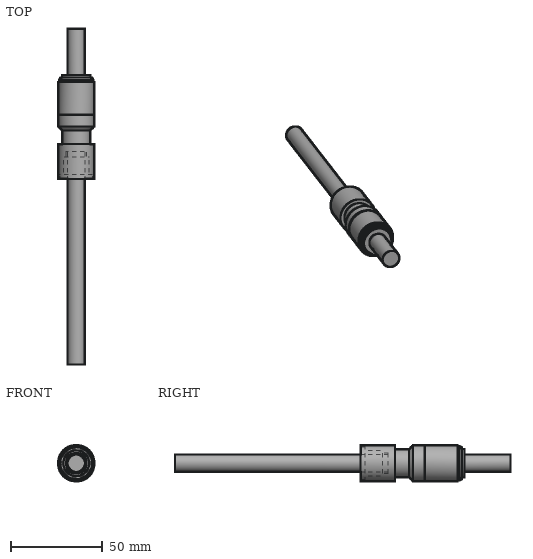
import cadquery as cq

LENGTH = 184.15
BODY_RADIUS = 9.96
ROD_RADIUS = 4.8

CAP_START = 25.3
CAP_CONE = 26.8
CAP_LIP = 28.0
CAP_SHOULDER = 29.1
GRIP_END = 47.1
TAPER_START = 53.5
NECK_START = 55.7
SOCKET_START = 63.3
SOCKET_END = 82.3

CAP_FACE_RADIUS = 7.9
CAP_CONE_RADIUS = 8.7
CAP_LIP_RADIUS = 9.4
NECK_RADIUS = 7.7

GROOVE_WIDTH = 0.3
GROOVE_DEPTH = 0.15

MOUTH_RADIUS = 8.8
MOUTH_DEPTH = 2.5
BORE_RADIUS = 7.05
BORE_DEPTH = 12.0
CLEARANCE_RADIUS = 5.6
CLEARANCE_DEPTH = 15.0


def station(distance):
    """Y coordinate of a distance measured from the +Y end of the part."""
    return LENGTH / 2 - distance


def cylinder(radius, start, end):
    plane = cq.Workplane("XZ", origin=(0, station(start), 0))
    return plane.circle(radius).extrude(end - start)


def make_rod():
    return cylinder(ROD_RADIUS, 0, LENGTH)


def make_sleeve():
    profile = (
        cq.Workplane("XY")
        .moveTo(0, station(CAP_START))
        .lineTo(CAP_FACE_RADIUS, station(CAP_START))
        .lineTo(CAP_FACE_RADIUS, station(CAP_CONE))
        .lineTo(CAP_CONE_RADIUS, station(CAP_CONE))
        .lineTo(CAP_LIP_RADIUS, station(CAP_LIP))
        .lineTo(CAP_LIP_RADIUS, station(CAP_SHOULDER))
        .lineTo(BODY_RADIUS, station(CAP_SHOULDER))
        .lineTo(BODY_RADIUS, station(TAPER_START))
        .lineTo(NECK_RADIUS, station(NECK_START))
        .lineTo(NECK_RADIUS, station(SOCKET_START))
        .lineTo(BODY_RADIUS, station(SOCKET_START))
        .lineTo(BODY_RADIUS, station(SOCKET_END))
        .lineTo(0, station(SOCKET_END))
        .close()
    )
    return profile.revolve(360, (0, 0, 0), (0, 1, 0))


def make_groove(centre):
    start = centre - GROOVE_WIDTH / 2
    end = centre + GROOVE_WIDTH / 2
    return cylinder(BODY_RADIUS, start, end).cut(cylinder(BODY_RADIUS - GROOVE_DEPTH, start, end))


def make_socket_bore():
    mouth = cylinder(MOUTH_RADIUS, SOCKET_END - MOUTH_DEPTH, SOCKET_END)
    bore = cylinder(BORE_RADIUS, SOCKET_END - BORE_DEPTH, SOCKET_END)
    clearance = cylinder(CLEARANCE_RADIUS, SOCKET_END - CLEARANCE_DEPTH, SOCKET_END)
    return mouth.union(bore).union(clearance)


sleeve = make_sleeve().cut(make_groove(GRIP_END)).cut(make_socket_bore())
result = sleeve.union(make_rod())